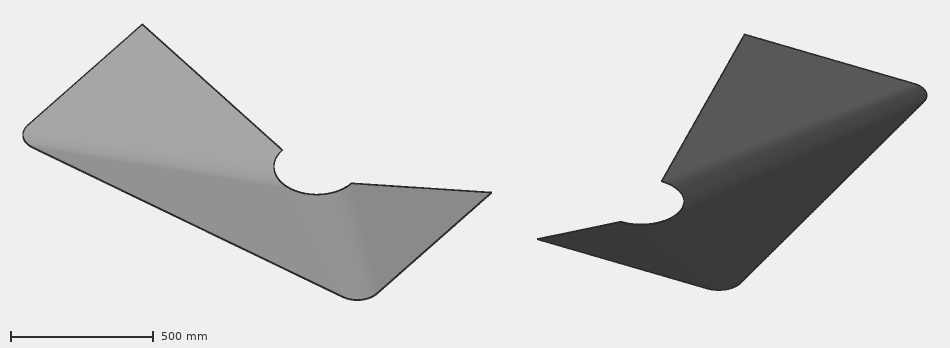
import cadquery as cq
import math

rim_half_width = 759.525
rim_corner_radius = 84.8
outlet_radius = 149.8
inner_depth = 268.74
sheet_thickness = 3.0

rim_corner_center = rim_half_width - rim_corner_radius

LEFT, RIGHT = -1, 1

SIDE_ANGLE = 0
MIDDLE_ANGLE = math.pi / 4
FRONT_ANGLE = math.pi / 2


def rim_point(side, angle):
    """Point on the rounded rim corner of the given side."""
    x = rim_corner_center + rim_corner_radius * math.cos(angle)
    y = rim_corner_center + rim_corner_radius * math.sin(angle)
    return cq.Vector(side * x, -y, 0)


def outlet_point(side, angle):
    """Point on the outlet quarter circle of the given side."""
    x = outlet_radius * math.cos(angle)
    y = outlet_radius * math.sin(angle)
    return cq.Vector(side * x, -y, -inner_depth)


def quarter_arc(point_on_curve, side):
    """Quarter circle running from the side wall to the front wall."""
    return cq.Edge.makeThreePointArc(
        point_on_curve(side, SIDE_ANGLE),
        point_on_curve(side, MIDDLE_ANGLE),
        point_on_curve(side, FRONT_ANGLE),
    )


def triangle(*corners):
    return cq.Face.makeFromWires(cq.Wire.makePolygon(corners, close=True))


def front_wall():
    """Flat triangle from the straight front rim to the foremost outlet point."""
    return triangle(
        rim_point(LEFT, FRONT_ANGLE),
        rim_point(RIGHT, FRONT_ANGLE),
        outlet_point(RIGHT, FRONT_ANGLE),
    )


def side_wall(side):
    """Flat triangle from the straight side rim to the end of the outlet arc."""
    rim_end = cq.Vector(side * rim_half_width, 0, 0)
    return triangle(rim_end, rim_point(side, SIDE_ANGLE), outlet_point(side, SIDE_ANGLE))


def corner_wall(side):
    """Conical bend between the rim corner and the outlet."""
    return cq.Face.makeRuledSurface(quarter_arc(rim_point, side), quarter_arc(outlet_point, side))


def plate(wall):
    """Thicken an inner-skin face toward the outside, which lies below it."""
    normal_points_outward = wall.normalAt().z < 0
    return wall.thicken(sheet_thickness if normal_points_outward else -sheet_thickness)


hopper = cq.Workplane("XY").newObject([plate(front_wall())])
for hopper_side in (LEFT, RIGHT):
    hopper = hopper.union(plate(corner_wall(hopper_side)))
    hopper = hopper.union(plate(side_wall(hopper_side)))

result = hopper